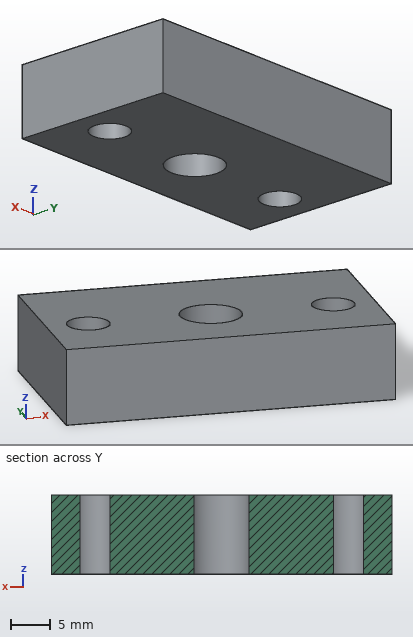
import cadquery as cq

length = 43.0
width = 24.0
height = 10.0

hole_row_y = -2.0
center_hole_diameter = 8.0
side_hole_diameter = 5.5
side_hole_spacing = 32.0


def make_block():
    return cq.Workplane("XY").box(length, width, height)


def drill_holes(body, x_positions, diameter):
    """Drill vertical through holes at the given places along the hole row."""
    points = [(x, hole_row_y) for x in x_positions]
    return body.faces(">Z").workplane(origin=(0, 0, 0)).pushPoints(points).hole(diameter)


block = make_block()
block = drill_holes(block, [0], center_hole_diameter)
result = drill_holes(block, [-side_hole_spacing / 2, side_hole_spacing / 2], side_hole_diameter)